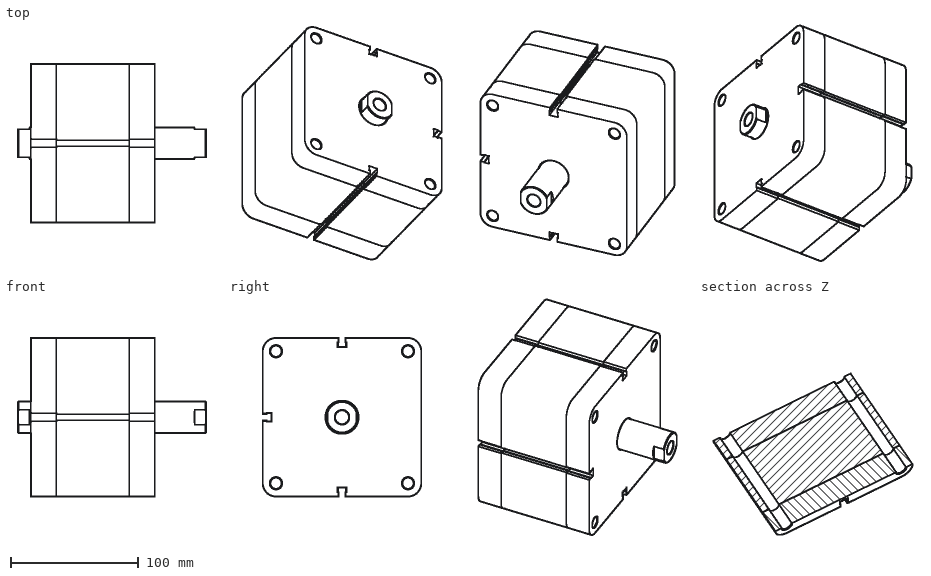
import cadquery as cq
import math

overall_length = 147.0
rod_stub = 10.0
rod_reach = 40.0
cap_thickness = 20.0
housing_length = overall_length - rod_stub - rod_reach
barrel_length = housing_length - 2 * cap_thickness
cap_start = -housing_length / 2
barrel_start = cap_start + cap_thickness
rod_start = cap_start - rod_stub

side = 124.0
corner_radius = 10.5
edge_chamfer = 0.6
chamfer_angle = 45.0

screw_hole_diameter = 8.7
screw_hole_pitch = side - 2 * corner_radius

slot_lip_depth = 3.2
barrel_mouth_width = 5.0
barrel_undercut_width = 6.2
barrel_slot_depth = 6.8
cap_mouth_width = 6.0
cap_undercut_width = 7.2
cap_slot_depth = 7.2
slot_angles = (0, 90, 180)

rod_diameter = 25.0
flats_width = 22.0
flats_length = 8.8
shoulder_lean = 15.0
bore_diameter = 10.7
bore_chamfer = 0.5
bore_depth = 23.5
drill_tip_angle = 118.0


def slot_cutter(x_start, length, mouth_width, undercut_width, depth):
    """T-slot in the +Z side, open through the whole length along X."""
    floor_z = side / 2 - depth
    undercut_height = depth - slot_lip_depth
    floor_plane = cq.Workplane("XY", origin=(x_start + length / 2, 0, floor_z))
    mouth = floor_plane.rect(length, mouth_width).extrude(depth)
    undercut = floor_plane.rect(length, undercut_width).extrude(undercut_height)
    return mouth.union(undercut)


def screw_hole_centres(x_start):
    """One point on each screw hole axis, in the plane at x_start."""
    return (
        cq.Workplane("YZ", origin=(x_start, 0, 0))
        .rect(screw_hole_pitch, screw_hole_pitch, forConstruction=True)
        .vertices()
    )


def square_section(x_start, length, slot):
    """Rounded square block along X with its screw holes, rod hole and T-slots."""
    block = (
        cq.Workplane("YZ", origin=(x_start, 0, 0))
        .rect(side, side)
        .extrude(length)
        .edges("|X")
        .fillet(corner_radius)
    )
    block = block.cut(screw_hole_centres(x_start).circle(screw_hole_diameter / 2).extrude(length))
    block = block.cut(cq.Workplane("YZ", origin=(x_start, 0, 0)).circle(rod_diameter / 2).extrude(length))
    for angle in slot_angles:
        block = block.cut(slot.rotate((0, 0, 0), (1, 0, 0), angle))
    return block


def make_barrel():
    """Middle section of the housing, between the two caps."""
    slot = slot_cutter(
        barrel_start, barrel_length, barrel_mouth_width, barrel_undercut_width, barrel_slot_depth
    )
    return square_section(barrel_start, barrel_length, slot)


def make_cap():
    """End cap at the -X end, with the rims of its holes chamfered on the outer face."""
    slot = slot_cutter(cap_start, cap_thickness, cap_mouth_width, cap_undercut_width, cap_slot_depth)
    cap = square_section(cap_start, cap_thickness, slot)
    screw_rim_radius = screw_hole_diameter / 2 + edge_chamfer
    screw_rims = screw_hole_centres(cap_start).circle(screw_rim_radius)
    screw_rims = screw_rims.extrude(edge_chamfer, taper=chamfer_angle)
    rod_rim_radius = rod_diameter / 2 + edge_chamfer
    rod_rim = cq.Workplane("YZ", origin=(cap_start, 0, 0)).circle(rod_rim_radius)
    rod_rim = rod_rim.extrude(edge_chamfer, taper=chamfer_angle)
    return cap.cut(screw_rims).cut(rod_rim)


def rod_bore():
    """Blind drilled hole with a chamfered rim and a conical bottom, in from the -X end of the rod."""
    radius = bore_diameter / 2
    tip_length = radius / math.tan(math.radians(drill_tip_angle / 2))
    profile = [
        (0, 0),
        (bore_depth + tip_length, 0),
        (bore_depth, radius),
        (bore_chamfer, radius),
        (0, radius + bore_chamfer),
    ]
    bore = cq.Workplane("XY").polyline(profile).close().revolve(360, (0, 0, 0), (1, 0, 0))
    return bore.translate((rod_start, 0, 0))


def rod_flats():
    """Cutters for a pair of wrench flats facing -Y and +Y at the -X end of the rod."""
    flat_y = flats_width / 2
    outer_y = rod_diameter / 2
    shoulder_run = (outer_y - flat_y) * math.tan(math.radians(shoulder_lean))
    profile = [
        (rod_start, flat_y),
        (rod_start + flats_length, flat_y),
        (rod_start + flats_length + shoulder_run, outer_y),
        (rod_start, outer_y),
    ]
    cutter = cq.Workplane("XY").polyline(profile).close().extrude(outer_y, both=True)
    return cutter.union(cutter.mirror("XZ"))


def make_rod():
    """Through rod, with the same bore and wrench flats at both ends."""
    rod = (
        cq.Workplane("YZ", origin=(rod_start, 0, 0))
        .circle(rod_diameter / 2)
        .extrude(overall_length)
        .faces("<X or >X")
        .chamfer(edge_chamfer)
    )
    rod_middle = rod_start + overall_length / 2
    for end_cut in (rod_flats(), rod_bore()):
        rod = rod.cut(end_cut).cut(end_cut.mirror("YZ", (rod_middle, 0, 0)))
    return rod


barrel = make_barrel()
rod = make_rod()
caps = []
for is_far_cap in (False, True):
    cap = make_cap()
    if is_far_cap:
        cap = cap.mirror("YZ")
    caps.append(cap.val())

result = cq.Compound.makeCompound([barrel.val(), *caps, rod.val()])